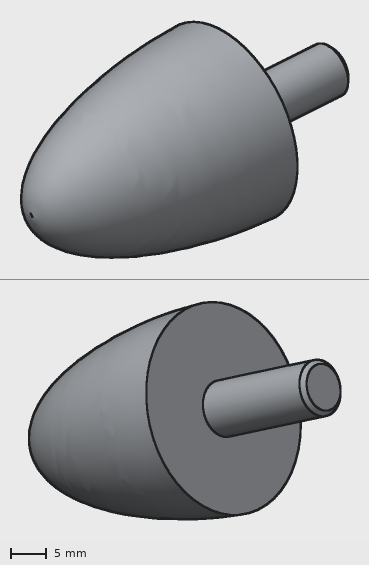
import cadquery as cq


base_radius = 15.0
bumper_length = 36.0
flank_handle_length = 17.0
flank_handle_inset = 0.5
nose_handle_length = 8.8

stud_diameter = 8.0
stud_length = 20.0
stud_chamfer = 0.7


def make_bumper():
    """Revolve a half profile whose curved side meets the axis squarely at the tip."""
    curve_poles = [
        (-base_radius, 0),
        (-base_radius + flank_handle_inset, -flank_handle_length),
        (-nose_handle_length, -bumper_length),
        (0, -bumper_length),
    ]
    return (
        cq.Workplane("XY")
        .lineTo(-base_radius, 0)
        .bezier(curve_poles)
        .close()
        .revolve(360, (0, 0), (0, 1))
    )


def make_stud():
    """Extrude the stud from the base plane and chamfer its free end."""
    return (
        cq.Workplane("XZ")
        .circle(stud_diameter / 2)
        .extrude(-stud_length)
        .faces(">Y")
        .chamfer(stud_chamfer)
    )


bumper = make_bumper()
stud = make_stud()

result = cq.Compound.makeCompound([bumper.val(), stud.val()])